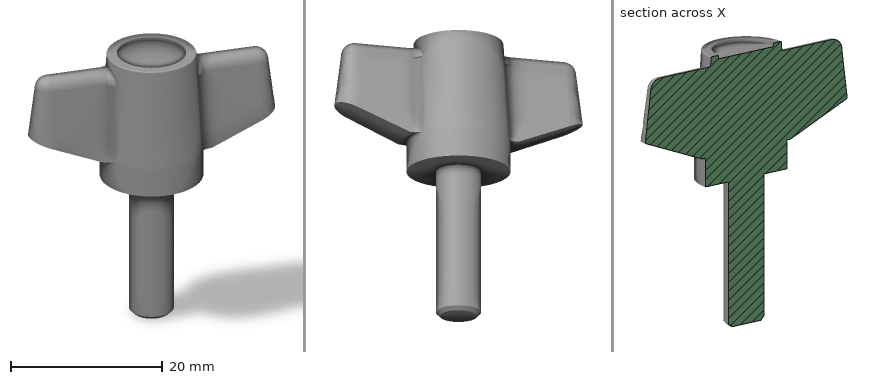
import cadquery as cq

total_height = 37.9
collar_bottom = 20.1
collar_top = 24.05
hub_height = total_height - collar_top

stud_diameter = 6.0
stud_chamfer = 0.53

collar_diameter = 13.75
hub_base_diameter = collar_diameter
hub_top_diameter = 11.85
hub_edge_round = 0.2
recess_diameter = 9.17
recess_depth = 0.5

wing_span = 34.0
wing_base_half_width = 2.75
crown_radius = 1.75
crown_base = 34.83
end_center_base = 14.75
end_center_crown = 14.35
root_fillet = 1.35
wing_tip_bottom = 27.97
underside_start = 7.43

flare_half_width = 2.5
flare_inner = 5.7
flare_outer = 6.7

OVERLAP = 0.38


def hub_cone():
    """Solid tapered hub standing on the collar."""
    return (
        cq.Workplane("XY", origin=(0, 0, collar_top))
        .circle(hub_base_diameter / 2)
        .workplane(offset=hub_height)
        .circle(hub_top_diameter / 2)
        .loft(ruled=True)
    )


def wing_walls():
    """Drafted slab running through the hub, continued past the crown base."""
    top = total_height - OVERLAP
    reach = (top - collar_top) / (crown_base - collar_top)
    top_half_width = wing_base_half_width + reach * (crown_radius - wing_base_half_width)
    top_center = end_center_base + reach * (end_center_crown - end_center_base)
    return (
        cq.Workplane("XY", origin=(0, 0, collar_top))
        .slot2D(2 * (end_center_base + wing_base_half_width), 2 * wing_base_half_width, 90)
        .workplane(offset=top - collar_top)
        .slot2D(2 * (top_center + top_half_width), 2 * top_half_width, 90)
        .loft(ruled=True)
    )


def root_edges(body):
    """Four side edges where the wing walls meet the hub."""
    box_half_width = wing_base_half_width + OVERLAP
    box_half_length = hub_base_diameter / 2
    corner = (-box_half_width, -box_half_length, collar_top + OVERLAP)
    opposite = (box_half_width, box_half_length, total_height - OVERLAP / 2)
    side_edges = cq.selectors.BoxSelector(corner, opposite)
    min_length = (crown_base - collar_top) / 2
    return body.edges(side_edges).filter(
        lambda edge: edge.BoundingBox().zlen > min_length
        and abs(edge.Center().y) < box_half_length
    )


def crown_space():
    """Block above the crown base, wide and long enough to hold both wings."""
    return cq.Workplane("XY", origin=(0, 0, crown_base)).box(
        collar_diameter, wing_span + OVERLAP, hub_height, centered=(True, True, False)
    )


def wing_crown():
    """Full round along the top of both wings, with ball ends."""
    crown = (
        cq.Workplane("XZ", origin=(0, end_center_crown, crown_base))
        .circle(crown_radius)
        .extrude(2 * end_center_crown)
    )
    for side in (-1, 1):
        ball = cq.Workplane("XY", origin=(0, side * end_center_crown, crown_base)).sphere(crown_radius)
        crown = crown.union(ball)
    return crown.intersect(crown_space())


def crown_flare(side):
    """Arched transition from the wide wing root to the crown."""
    flare = (
        cq.Workplane("XZ", origin=(0, -flare_inner, crown_base))
        .ellipse(flare_half_width, crown_radius)
        .workplane(offset=flare_outer - flare_inner)
        .ellipse(crown_radius, crown_radius)
        .loft(ruled=True)
        .intersect(crown_space())
    )
    return flare if side < 0 else flare.mirror("XZ")


def underside_cut(side):
    """Wedge that slopes the underside of one wing up to its tip."""
    slope = (wing_tip_bottom - collar_top) / (wing_span / 2 - underside_start)
    far = wing_span
    return (
        cq.Workplane("YZ", origin=(-collar_diameter / 2, 0, 0))
        .polyline(
            [
                (side * underside_start, collar_top),
                (side * far, collar_top + slope * (far - underside_start)),
                (side * far, collar_top),
            ]
        )
        .close()
        .extrude(collar_diameter)
    )


hub = hub_cone()
body = hub.union(wing_walls())
body = root_edges(body).fillet(root_fillet)

above_crown_base = crown_space().cut(hub)
body = body.cut(above_crown_base).union(wing_crown())
for wing_side in (-1, 1):
    body = body.union(crown_flare(wing_side)).cut(underside_cut(wing_side))

body = body.faces(">Z").edges().fillet(hub_edge_round)
body = body.faces(">Z").workplane(origin=(0, 0, total_height)).hole(recess_diameter, recess_depth)

collar = (
    cq.Workplane("XY", origin=(0, 0, collar_bottom))
    .circle(collar_diameter / 2)
    .extrude(collar_top - collar_bottom)
)
stud = (
    cq.Workplane("XY")
    .circle(stud_diameter / 2)
    .extrude(collar_bottom)
    .faces("<Z")
    .chamfer(stud_chamfer)
)

result = body.union(collar).union(stud)